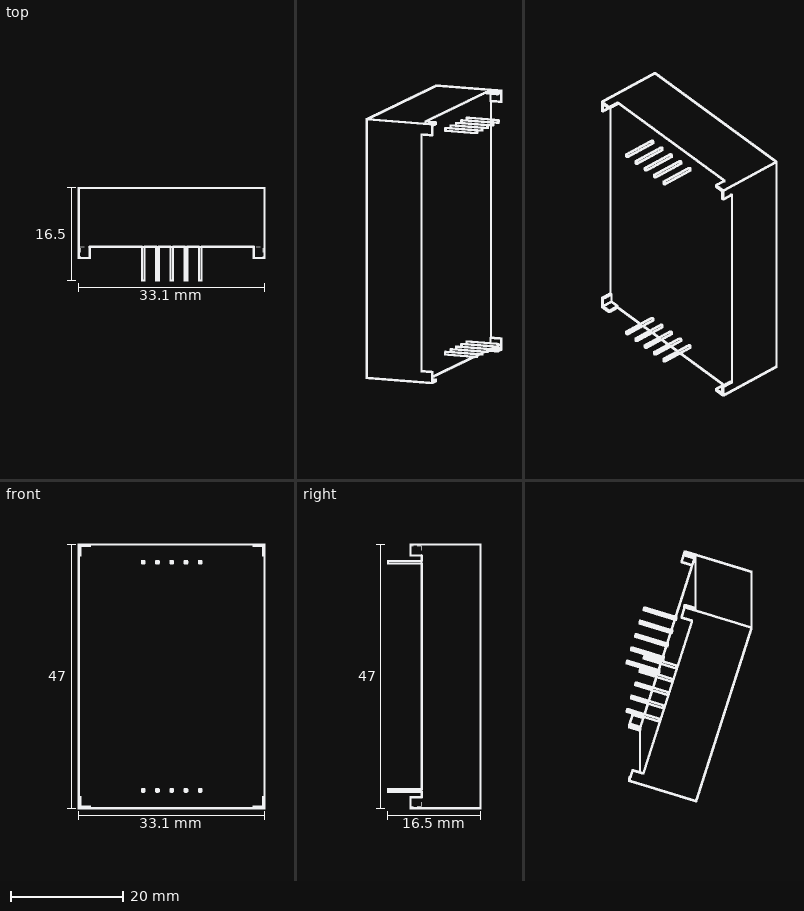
import cadquery as cq

body_width = 33.15
body_height = 47.0
body_depth = 10.5

foot_length = 2.0
foot_arm = 2.0
foot_wall = 0.3

pin_diameter = 0.5
pin_length = 6.0
pin_pitch = 2.54
pins_per_row = 5
row_count = 2
row_spacing = 40.64


def make_body():
    """Rectangular housing centred on X and Z, extending from Y = 0 to -body_depth."""
    return cq.Workplane("XZ").rect(body_width, body_height).extrude(body_depth)


def make_foot(x_side, z_side):
    """L-shaped standoff in the corner selected by the signs of X and Z."""
    outer_x = x_side * body_width / 2
    outer_z = z_side * body_height / 2
    arm_x = outer_x - x_side * foot_arm
    arm_z = outer_z - z_side * foot_arm
    inner_x = outer_x - x_side * foot_wall
    inner_z = outer_z - z_side * foot_wall
    outline = [
        (outer_x, outer_z),
        (arm_x, outer_z),
        (arm_x, inner_z),
        (inner_x, inner_z),
        (inner_x, arm_z),
        (outer_x, arm_z),
    ]
    return (
        cq.Workplane("XZ")
        .workplane(offset=body_depth)
        .polyline(outline)
        .close()
        .extrude(foot_length)
    )


def make_pins():
    """Two rows of straight pins standing on the pin face."""
    return (
        cq.Workplane("XZ")
        .workplane(offset=body_depth)
        .rarray(pin_pitch, row_spacing, pins_per_row, row_count)
        .circle(pin_diameter / 2)
        .extrude(pin_length)
    )


result = make_body().union(make_pins())
for x_side in (-1, 1):
    for z_side in (-1, 1):
        result = result.union(make_foot(x_side, z_side))